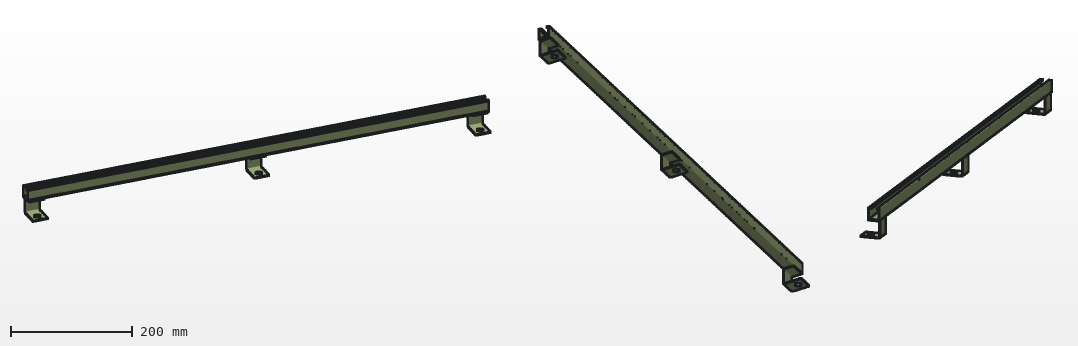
import cadquery as cq

RAIL_LENGTH = 825.5
TOTAL_HEIGHT = 52.0

RAIL_WIDTH = 21.0
RAIL_HEIGHT = 21.0
RAIL_WALL = 2.0
RAIL_CORNER_RADIUS = 1.0
SLOT_WIDTH = 11.0
RAIL_BOTTOM = TOTAL_HEIGHT - RAIL_HEIGHT

BRACKET_REACH = 35.0
BRACKET_WIDTH = 26.5
BRACKET_HEIGHT = RAIL_BOTTOM
BRACKET_THICKNESS = 2.0
BRACKET_OUTER_RADIUS = 3.7
BRACKET_INNER_RADIUS = BRACKET_OUTER_RADIUS - BRACKET_THICKNESS
TOP_FLANGE_REACH = RAIL_WIDTH
HOLE_DIAMETER = 11.0
HOLE_X = 21.5
END_MARGIN = 3.0
BRACKET_SPACING = (RAIL_LENGTH - BRACKET_WIDTH) / 2 - END_MARGIN


def box(x, z, width, height, length):
    """Bar along Y, centred on Y = 0, with its lower left corner at (x, z)."""
    return cq.Workplane("XY").box(width, length, height, centered=(False, True, False)).translate((x, 0, z))


def make_rail():
    """Square channel with rounded outer corners, open at both ends, with a slot between its two top lips."""
    outside = box(0, RAIL_BOTTOM, RAIL_WIDTH, RAIL_HEIGHT, RAIL_LENGTH)
    outside = outside.edges("|Y").fillet(RAIL_CORNER_RADIUS)
    inside = box(
        RAIL_WALL,
        RAIL_BOTTOM + RAIL_WALL,
        RAIL_WIDTH - 2 * RAIL_WALL,
        RAIL_HEIGHT - 2 * RAIL_WALL,
        RAIL_LENGTH,
    )
    slot = box(
        (RAIL_WIDTH - SLOT_WIDTH) / 2,
        RAIL_BOTTOM + RAIL_HEIGHT / 2,
        SLOT_WIDTH,
        RAIL_HEIGHT / 2,
        RAIL_LENGTH,
    )
    return outside.cut(inside).cut(slot)


def make_bracket(y):
    """Bent strip with a short top flange, a web and a long drilled bottom flange."""
    blank = box(0, 0, BRACKET_REACH, BRACKET_HEIGHT, BRACKET_WIDTH)
    blank = blank.edges("|Y and <X").fillet(BRACKET_OUTER_RADIUS)
    opening = box(
        BRACKET_THICKNESS,
        BRACKET_THICKNESS,
        BRACKET_REACH,
        BRACKET_HEIGHT - 2 * BRACKET_THICKNESS,
        BRACKET_WIDTH,
    )
    opening = opening.edges("|Y and <X").fillet(BRACKET_INNER_RADIUS)
    top_trim = box(
        TOP_FLANGE_REACH,
        BRACKET_HEIGHT / 2,
        BRACKET_REACH - TOP_FLANGE_REACH,
        BRACKET_HEIGHT / 2,
        BRACKET_WIDTH,
    )
    hole = cq.Workplane("XY").center(HOLE_X, 0).circle(HOLE_DIAMETER / 2).extrude(BRACKET_HEIGHT / 2)
    return blank.cut(opening).cut(top_trim).cut(hole).translate((0, y, 0))


rail = make_rail()
brackets = [make_bracket(step * BRACKET_SPACING) for step in (-1, 0, 1)]

result = cq.Compound.makeCompound([rail.val(), *[bracket.val() for bracket in brackets]])